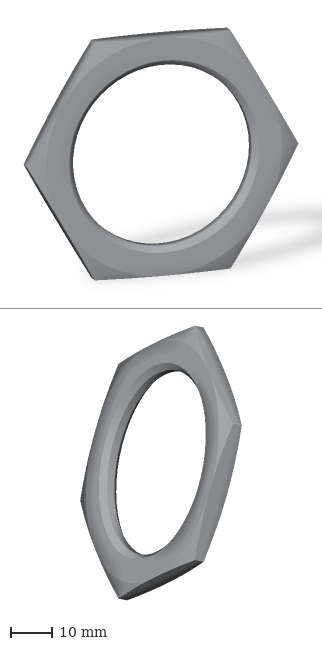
import cadquery as cq
import math

across_corners = 69.3
thickness = 5.0
bore_diameter = 45.5
countersink_diameter = 48.4
countersink_angle = 45.0
corner_bevel_angle = 15.0

corner_radius = across_corners / 2
across_flats = across_corners * math.cos(math.radians(30))
flat_radius = across_flats / 2
bore_radius = bore_diameter / 2
countersink_radius = countersink_diameter / 2
half_thickness = thickness / 2
countersink_depth = (countersink_radius - bore_radius) * math.tan(math.radians(countersink_angle))
bevel_depth = (corner_radius - flat_radius) * math.tan(math.radians(corner_bevel_angle))


def hexagon_blank():
    """Hexagonal plate centred on the origin, with corners on the Y axis."""
    return (
        cq.Workplane("YZ")
        .polygon(6, across_corners)
        .extrude(half_thickness, both=True)
    )


def turned_ring():
    """Ring with the countersunk bore and the cones that bevel the hexagon corners."""
    bore_edge = half_thickness - countersink_depth
    rim_edge = half_thickness - bevel_depth
    profile = [
        (-bore_edge, bore_radius),
        (-half_thickness, countersink_radius),
        (-half_thickness, flat_radius),
        (-rim_edge, corner_radius),
        (rim_edge, corner_radius),
        (half_thickness, flat_radius),
        (half_thickness, countersink_radius),
        (bore_edge, bore_radius),
    ]
    return (
        cq.Workplane("XY")
        .polyline(profile)
        .close()
        .revolve(360, (0, 0, 0), (1, 0, 0))
    )


result = hexagon_blank().intersect(turned_ring())